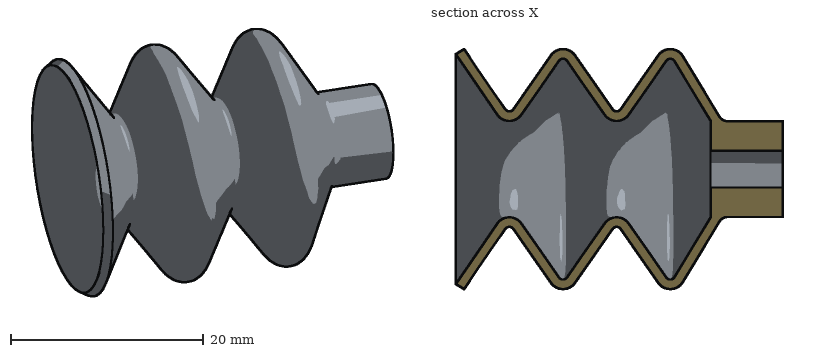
import cadquery as cq
import math


LENGTH = 34.0
FOLD_DIAMETER = 25.0
NECK_RADIUS = 6.02
STEM_RADIUS = 5.0
HOLE_RADIUS = 1.9
WALL = 1.02
CREST_ROUND = 1.53
NECK_ROUND = 0.5
STEM_ROUND = 1.0
NECK_HEIGHT = 5.58
LIP_HEIGHT = 0.9
MOUTH_RADIUS = 11.97
STEM_START = 28.25

FOLD_PITCH = 2 * NECK_HEIGHT
FOLD_RADIUS = FOLD_DIAMETER / 2
ROOF_RADIUS = STEM_RADIUS
CREST_CENTER = FOLD_RADIUS - CREST_ROUND
NECK_CENTER = NECK_RADIUS + NECK_ROUND

OUTER_ROUNDS = [
    (NECK_CENTER, NECK_HEIGHT, NECK_ROUND, -1),
    (CREST_CENTER, FOLD_PITCH, CREST_ROUND, 1),
    (NECK_CENTER, NECK_HEIGHT + FOLD_PITCH, NECK_ROUND, -1),
    (CREST_CENTER, 2 * FOLD_PITCH, CREST_ROUND, 1),
    (STEM_RADIUS + STEM_ROUND, STEM_START, STEM_ROUND, -1),
]


def offset_inward(round_):
    """Concentric round on the inner face of the wall."""
    r, y, radius, side = round_
    return (r, y, radius - side * WALL, side)


def point_on(round_, angle):
    """Point of a round at an angle from its radial direction, on its bulging side."""
    r, y, radius, side = round_
    return (r + side * radius * math.cos(angle), y + side * radius * math.sin(angle))


def flank_normal(start, end):
    """Angle from radial of the normal of the straight flank from one round up to the next."""
    dr = end[0] - start[0]
    dy = end[1] - start[1]
    gap = end[3] * end[2] - start[3] * start[2]
    return math.atan2(dy, dr) - math.acos(-gap / math.hypot(dr, dy))


def add_round(profile, round_, angle_in, angle_out):
    """Straight flank to the round, then the arc over it."""
    middle = (angle_in + angle_out) / 2
    profile = profile.lineTo(*point_on(round_, angle_in))
    return profile.threePointArc(point_on(round_, middle), point_on(round_, angle_out))


def add_folds(profile, start, rounds, last_angle):
    """Chain of rounds joined by tangent flanks, beginning at a sharp point."""
    chain = [(start[0], start[1], 0.0, 1)] + rounds
    angles = [flank_normal(a, b) for a, b in zip(chain, chain[1:])] + [last_angle]
    for round_, angle_in, angle_out in zip(rounds, angles, angles[1:]):
        profile = add_round(profile, round_, angle_in, angle_out)
    return profile


def revolve_about_y(profile):
    return profile.close().revolve(360, (0, 0, 0), (0, 1, 0))


def make_body():
    """Solid outer form, from the beveled lip to the end of the stem."""
    profile = cq.Workplane("XY").moveTo(0, 0).lineTo(MOUTH_RADIUS, 0).lineTo(FOLD_RADIUS, LIP_HEIGHT)
    profile = add_folds(profile, (FOLD_RADIUS, LIP_HEIGHT), OUTER_ROUNDS, 0.0)
    return revolve_about_y(profile.lineTo(STEM_RADIUS, LENGTH).lineTo(0, LENGTH))


def make_cavity():
    """Bellows interior, one wall inside the folds, ending in a flat roof below the stem."""
    rounds = [offset_inward(r) for r in OUTER_ROUNDS[:-1]]
    roof_angle = flank_normal(OUTER_ROUNDS[-2], OUTER_ROUNDS[-1])
    crest_end = point_on(rounds[-1], roof_angle)
    roof_height = crest_end[1] + (crest_end[0] - ROOF_RADIUS) / math.tan(roof_angle)
    profile = cq.Workplane("XY").moveTo(0, 0).lineTo(MOUTH_RADIUS, 0)
    profile = add_folds(profile, (MOUTH_RADIUS, 0.0), rounds, roof_angle)
    return revolve_about_y(profile.lineTo(ROOF_RADIUS, roof_height).lineTo(0, roof_height))


def make_hole():
    """Straight passage along the whole axis."""
    return cq.Workplane("XZ").circle(HOLE_RADIUS).extrude(-LENGTH)


result = make_body().cut(make_cavity()).cut(make_hole())